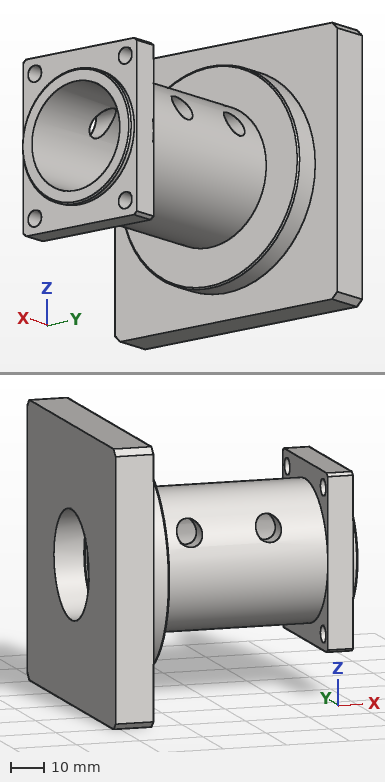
import cadquery as cq

PLATE_SIDE = 86.0
PLATE_THICKNESS = 12.0
PLATE_CORNER_CHAMFER = 2.0

SHOULDER_DIAMETER = 69.0
SHOULDER_LENGTH = 8.0
SHOULDER_CHAMFER = 0.5

TUBE_DIAMETER = 44.0
TUBE_LENGTH = 54.0

FLANGE_WIDTH = TUBE_DIAMETER
FLANGE_HEIGHT = 55.0
FLANGE_THICKNESS = 8.0
FLANGE_CORNER_DIAMETER = SHOULDER_DIAMETER
FLANGE_HOLE_DIAMETER = 5.2
FLANGE_HOLE_SPACING_Y = 35.0
FLANGE_HOLE_SPACING_Z = 45.0

SPIGOT_DIAMETER = 42.0
SPIGOT_LENGTH = 2.0
SPIGOT_CHAMFER = 0.5

BORE_DIAMETER = 34.0
GROOVE_CENTER_X = 10.0
GROOVE_DEPTH = 0.5

CROSS_HOLE_DIAMETER = 8.0
CROSS_HOLE_HEIGHT = 11.25
CROSS_HOLE_FIRST_X = 31.25
CROSS_HOLE_PITCH = 25.0
CROSS_HOLE_COUNT = 2

SHOULDER_START = PLATE_THICKNESS
TUBE_START = SHOULDER_START + SHOULDER_LENGTH
FLANGE_START = TUBE_START + TUBE_LENGTH
SPIGOT_START = FLANGE_START + FLANGE_THICKNESS
TOTAL_LENGTH = SPIGOT_START + SPIGOT_LENGTH


def plane_at(x):
    """Work plane normal to the axis: local x is Y and local y is Z."""
    return cq.Workplane("YZ", origin=(x, 0, 0))


def disc(x, diameter, length):
    return plane_at(x).circle(diameter / 2).extrude(length)


def block(x, width, height, thickness):
    return plane_at(x).rect(width, height).extrude(thickness)


def make_flange():
    """Rectangular flange whose corners are turned down to a round."""
    rectangle = block(FLANGE_START, FLANGE_WIDTH, FLANGE_HEIGHT, FLANGE_THICKNESS)
    return rectangle.intersect(disc(FLANGE_START, FLANGE_CORNER_DIAMETER, FLANGE_THICKNESS))


def make_body():
    plate = block(0, PLATE_SIDE, PLATE_SIDE, PLATE_THICKNESS).edges("|X").chamfer(PLATE_CORNER_CHAMFER)
    shoulder = disc(SHOULDER_START, SHOULDER_DIAMETER, SHOULDER_LENGTH).faces(">X").chamfer(SHOULDER_CHAMFER)
    tube = disc(TUBE_START, TUBE_DIAMETER, TUBE_LENGTH)
    spigot = disc(SPIGOT_START, SPIGOT_DIAMETER, SPIGOT_LENGTH).faces(">X").chamfer(SPIGOT_CHAMFER)
    return plate.union(shoulder).union(tube).union(make_flange()).union(spigot)


def make_bore():
    bore = disc(0, BORE_DIAMETER, TOTAL_LENGTH)
    bore_radius = BORE_DIAMETER / 2
    groove = (
        cq.Workplane("XY")
        .moveTo(GROOVE_CENTER_X - GROOVE_DEPTH, 0)
        .lineTo(GROOVE_CENTER_X - GROOVE_DEPTH, bore_radius)
        .lineTo(GROOVE_CENTER_X, bore_radius + GROOVE_DEPTH)
        .lineTo(GROOVE_CENTER_X + GROOVE_DEPTH, bore_radius)
        .lineTo(GROOVE_CENTER_X + GROOVE_DEPTH, 0)
        .close()
        .revolve(360, (0, 0, 0), (1, 0, 0))
    )
    return bore.union(groove)


def make_flange_holes():
    return (
        plane_at(FLANGE_START)
        .rarray(FLANGE_HOLE_SPACING_Y, FLANGE_HOLE_SPACING_Z, 2, 2)
        .circle(FLANGE_HOLE_DIAMETER / 2)
        .extrude(FLANGE_THICKNESS)
    )


def make_cross_holes():
    centers = [
        (CROSS_HOLE_FIRST_X + i * CROSS_HOLE_PITCH, CROSS_HOLE_HEIGHT)
        for i in range(CROSS_HOLE_COUNT)
    ]
    return (
        cq.Workplane("XZ")
        .pushPoints(centers)
        .circle(CROSS_HOLE_DIAMETER / 2)
        .extrude(TUBE_DIAMETER / 2, both=True)
    )


result = make_body().cut(make_bore()).cut(make_flange_holes()).cut(make_cross_holes())